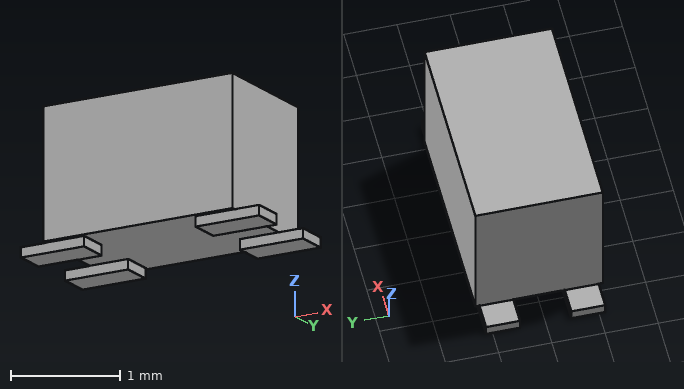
import cadquery as cq

overall_length = 2.52
overall_height = 1.4

lead_length = 0.67
lead_width = 0.32
lead_thickness = 0.1
lead_pitch = 0.801

housing_length = 2.0
housing_width = 1.2
housing_height = overall_height - lead_thickness

lead_center_x = (overall_length - lead_length) / 2
lead_center_y = lead_pitch / 2


def block(length, width, height, x, y, bottom_z):
    """Block centred on (x, y) and rising from bottom_z."""
    return (
        cq.Workplane("XY")
        .box(length, width, height, centered=(True, True, False))
        .translate((x, y, bottom_z))
    )


def make_housing():
    return block(housing_length, housing_width, housing_height, 0, 0, lead_thickness)


def make_lead(x, y):
    return block(lead_length, lead_width, lead_thickness, x, y, 0)


housing = make_housing()

leads = []
for x in (-lead_center_x, lead_center_x):
    for y in (-lead_center_y, lead_center_y):
        leads.append(make_lead(x, y))

result = cq.Compound.makeCompound([housing.val(), *[lead.val() for lead in leads]])